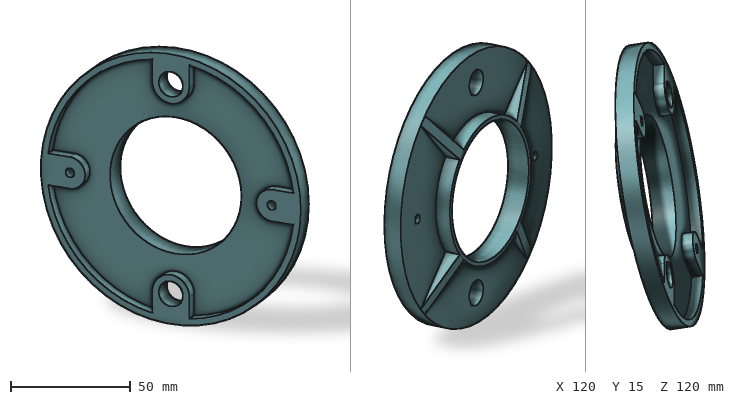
import cadquery as cq
import math

flange_radius = 60.0
flange_thickness = 8.0
total_height = 15.0
recess_radius = 57.0
recess_depth = 4.8

bore_radius = 60.5 / 2
hub_radius = 64.3 / 2

hole_circle_radius = 46.5
large_pad_width = 17.0
large_hole_radius = 11.0 / 2
large_pad_angles = (90, 270)
small_pad_width = 14.0
small_hole_radius = 4.0 / 2
small_pad_angles = (0, 180)

rib_thickness = 4.8
rib_outer_radius = 59.7
rib_angles = (45, 135, 225, 315)


def cylinder(radius, height):
    """Solid cylinder on the Y axis, from y = 0 toward +Y."""
    return cq.Workplane("XZ").circle(radius).extrude(-height)


def turn(shape, angle):
    """Turn a shape about the Y axis."""
    return shape.rotate((0, 0, 0), (0, 1, 0), angle)


def pad(width, angle):
    """Round-nosed pad, as deep as the recess, running from the hole circle out to the rim."""
    half_width = width / 2
    profile = (
        cq.Workplane("XZ")
        .moveTo(flange_radius, -half_width)
        .lineTo(hole_circle_radius, -half_width)
        .threePointArc((hole_circle_radius - half_width, 0), (hole_circle_radius, half_width))
        .lineTo(flange_radius, half_width)
        .close()
    )
    return turn(profile.extrude(-recess_depth), angle)


def pad_hole(radius, angle):
    """Cutter for a through hole on the hole circle."""
    x = hole_circle_radius * math.cos(math.radians(angle))
    z = hole_circle_radius * math.sin(math.radians(angle))
    return cylinder(radius, flange_thickness).translate((x, 0, z))


def rib(angle):
    """Rib sloping from the top of the hub down to the flange, rooted inside both."""
    inner_end = (bore_radius + hub_radius) / 2
    root = (recess_depth + flange_thickness) / 2
    profile = (
        cq.Workplane("XY")
        .moveTo(inner_end, root)
        .lineTo(rib_outer_radius, root)
        .lineTo(rib_outer_radius, flange_thickness)
        .lineTo(hub_radius, total_height)
        .lineTo(inner_end, total_height)
        .close()
    )
    return turn(profile.extrude(rib_thickness / 2, both=True), angle)


body = cylinder(flange_radius, flange_thickness)
body = body.union(cylinder(hub_radius, total_height))
for rib_angle in rib_angles:
    body = body.union(rib(rib_angle))

recess = cylinder(recess_radius, recess_depth)
for pad_angle in large_pad_angles:
    recess = recess.cut(pad(large_pad_width, pad_angle))
for pad_angle in small_pad_angles:
    recess = recess.cut(pad(small_pad_width, pad_angle))
body = body.cut(recess)

body = body.cut(cylinder(bore_radius, total_height))
for pad_angle in large_pad_angles:
    body = body.cut(pad_hole(large_hole_radius, pad_angle))
for pad_angle in small_pad_angles:
    body = body.cut(pad_hole(small_hole_radius, pad_angle))

result = body